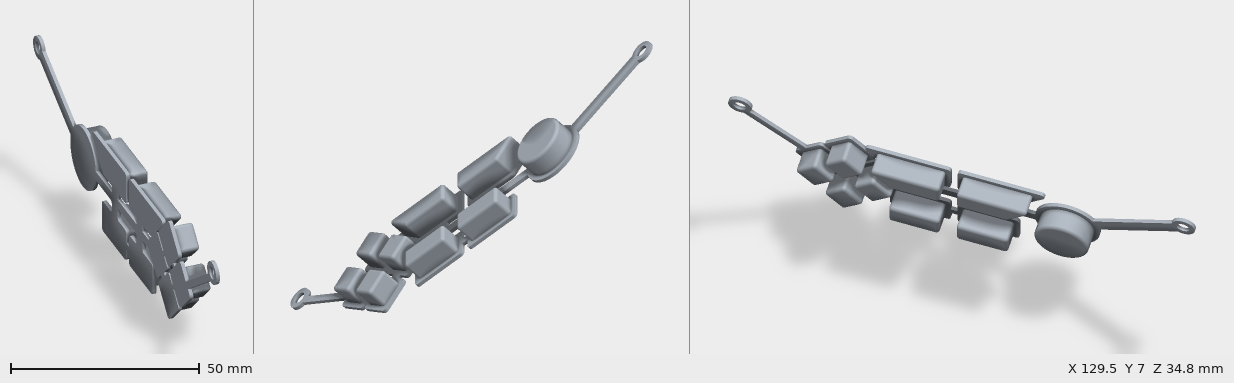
import cadquery as cq
import math

plate_thickness = 1.0
total_length = 129.5
total_depth = 7.0
pad_inset = 1.4
corner_radius = 1.0
pad_corner_radius = 0.9
pad_edge_radius = 0.9
overlap = 0.3

disc_diameter = 18.0
disc_pad_diameter = 15.0
disc_z = 0.5
eye_diameter = 6.5
eye_hole_diameter = 3.5
eye_spacing = total_length - eye_diameter
left_eye = (-32.1, 16.5)
right_eye = (left_eye[0] + eye_spacing, left_eye[1])
left_strap_width = 3.9
right_strap_width = 2.1
right_strap_drop = 0.8

bar_width = 2.7
plate_height = 9.3
upper_bottom = 3.4
upper_top = upper_bottom + plate_height
lower_top = -4.9
lower_bottom = lower_top - plate_height
left_column = (13.3, 30.4)
right_column = (32.4, 49.2)
upper_left_foot = 14.2
upper_right_foot = 48.2
stem_width = 4.0
stem_left_sides = (20.3, 37.8)
stem_fillet_radius = 1.0
foot_reach = 2.0
link_width = 2.0

diamond_x = 60.3
square_side = 10.5
square_pitch = 11.4
square_offset = square_pitch / math.sqrt(2)
narrow_bridge_width = 1.4
narrow_bridge_distance = 4.7
wide_bridge_width = 3.1
wide_bridge_angle = 225
wide_bridge_distance = square_pitch / 2


def extrude_back(sketch, depth):
    """Extrude an XZ sketch from the front face towards +Y."""
    return sketch.extrude(-depth)


def block(x_min, x_max, z_min, z_max):
    """Plate-thick rectangle between the given X and Z limits."""
    sketch = cq.Workplane("XZ").center((x_min + x_max) / 2, (z_min + z_max) / 2)
    return extrude_back(sketch.rect(x_max - x_min, z_max - z_min), plate_thickness)


def disc(centre, diameter, depth):
    return extrude_back(cq.Workplane("XZ").center(*centre).circle(diameter / 2), depth)


def strap(start, end, width, drop=0):
    """Straight strip between two points, shifted sideways by drop."""
    length = math.hypot(end[0] - start[0], end[1] - start[1])
    angle = math.degrees(math.atan2(end[1] - start[1], end[0] - start[0]))
    sketch = cq.Workplane("XZ").center(length / 2, -drop).rect(length, width)
    strip = extrude_back(sketch, plate_thickness)
    return strip.rotate((0, 0, 0), (0, 1, 0), -angle).translate((start[0], 0, start[1]))


def padded_plate(corners):
    """Round-cornered plate with an inset, round-edged pad on its back."""
    outline = cq.Workplane("XZ").polyline(corners).close()
    plate = extrude_back(outline, plate_thickness).edges("|Y").fillet(corner_radius)
    inset_outline = cq.Workplane("XZ").polyline(corners).close().offset2D(-pad_inset)
    pad = extrude_back(inset_outline, total_depth).edges("|Y").fillet(pad_corner_radius)
    return plate.union(pad.faces(">Y").edges().fillet(pad_edge_radius))


def padded_disc():
    centre = (0, disc_z)
    pad = disc(centre, disc_pad_diameter, total_depth).faces(">Y").edges().fillet(pad_edge_radius)
    return disc(centre, disc_diameter, plate_thickness).union(pad)


def column_plates():
    """Two slanted upper plates and two rectangular lower plates."""
    upper_left = [
        (upper_left_foot - plate_height, upper_top),
        (left_column[1], upper_top),
        (left_column[1], upper_bottom),
        (upper_left_foot, upper_bottom),
    ]
    upper_right = [
        (right_column[0], upper_top),
        (upper_right_foot + plate_height, upper_top),
        (upper_right_foot, upper_bottom),
        (right_column[0], upper_bottom),
    ]
    plates = padded_plate(upper_left).union(padded_plate(upper_right))
    for x_min, x_max in (left_column, right_column):
        lower = [(x_min, lower_top), (x_max, lower_top), (x_max, lower_bottom), (x_min, lower_bottom)]
        plates = plates.union(padded_plate(lower))
    return plates


def frame():
    """Bar with the stems that carry the plates, filleted on the lower side of the bar."""
    body = block(0, diamond_x - square_offset, -bar_width / 2, bar_width / 2)
    for x_min in stem_left_sides:
        x_max = x_min + stem_width
        body = body.union(block(x_min, x_max, lower_top, upper_bottom + overlap))
        foot = block(x_min - foot_reach, x_max + foot_reach, lower_top - foot_reach, lower_top)
        body = body.union(foot)
        for x in (x_min, x_max):
            corner_box = cq.selectors.BoxSelector(
                (x - overlap, -overlap, lower_top - overlap),
                (x + overlap, plate_thickness + overlap, -bar_width / 2 + overlap),
            )
            body = body.edges("|Y").edges(corner_box).fillet(stem_fillet_radius)
    return body


def diamond():
    """Four padded squares joined by small bridges across the gaps between them."""
    half_diagonal = square_side / math.sqrt(2)
    body = cq.Workplane("XZ")
    for quarter in range(4):
        angle = math.radians(90 * quarter)
        x = diamond_x + square_offset * math.cos(angle)
        z = square_offset * math.sin(angle)
        corners = [
            (x + half_diagonal, z),
            (x, z + half_diagonal),
            (x - half_diagonal, z),
            (x, z - half_diagonal),
        ]
        body = body.union(padded_plate(corners))
    gap = square_pitch - square_side
    for gap_angle in (45, 135, 225, 315):
        is_wide = gap_angle == wide_bridge_angle
        width = wide_bridge_width if is_wide else narrow_bridge_width
        distance = wide_bridge_distance if is_wide else narrow_bridge_distance
        bridge = block(distance - width / 2, distance + width / 2, -gap / 2 - overlap, gap / 2 + overlap)
        body = body.union(bridge.rotate((0, 0, 0), (0, 1, 0), -gap_angle).translate((diamond_x, 0, 0)))
    return body


def lower_link():
    """Short link between the two lower plates."""
    link_z = (lower_top + lower_bottom) / 2
    x_min = left_column[1] - overlap
    x_max = right_column[0] + overlap
    return block(x_min, x_max, link_z - link_width / 2, link_z + link_width / 2)


def straps():
    """Two slanted straps, each ending in a drilled eye."""
    disc_centre = (0, disc_z)
    right_square = (diamond_x + square_offset, 0)
    body = strap(left_eye, disc_centre, left_strap_width)
    body = body.union(strap(right_square, right_eye, right_strap_width, right_strap_drop))
    for eye in (left_eye, right_eye):
        body = body.union(disc(eye, eye_diameter, plate_thickness))
        body = body.cut(disc(eye, eye_hole_diameter, plate_thickness))
    return body


body = padded_disc().union(column_plates()).union(diamond())
body = body.union(frame()).union(lower_link()).union(straps())
result = cq.Workplane(body.solids().val())